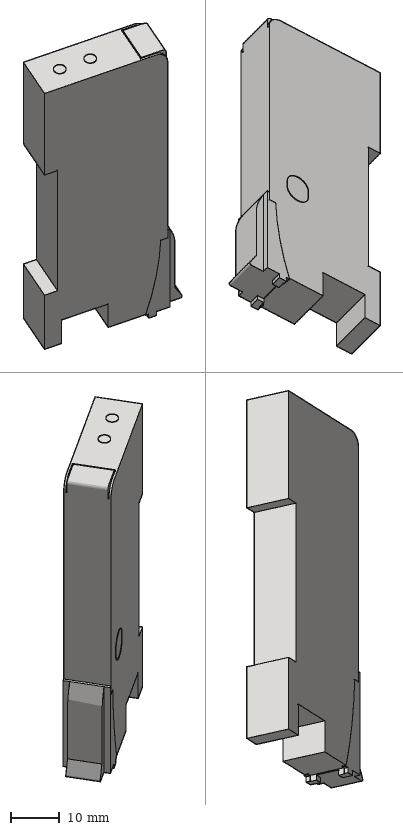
import cadquery as cq

width = 10.0
height = 76.2
housing_back = 28.05
housing_bottom = 1.4

relief_depth = 3.0
relief_bottom = 17.2
relief_top = 52.35

notch_front = 3.9
notch_back = 14.5
notch_top = 8.2

wall_radius = 3.0
window_radius = 1.0
wall_thickness = 0.45
groove_width = 0.2
window_front = 22.3

recess_depth = 0.115
indicator_diameter = 2.6
indicator_places = (5.9, 12.8)
side_slot_width = 5.3
side_slot_height = 6.9
side_slot_y = 20.8
side_slot_z = 29.2

clip_bottom = 1.15
clip_top = 23.85
clip_back = 28.6
cheek_thickness = 0.9
cheek_shoulder_y = 26.45
cheek_shoulder_z = 21.6
cheek_mid_y = 25.4
cheek_mid_z = 11.35
cheek_toe_y = 22.9
core_front = 23.9
core_width = width - 2 * cheek_thickness

foot_front = 23.7
foot_back = 25.5
foot_width = 2.4

lever_width = 7.25
lever_face = 30.3
lever_tip = 32.3
lever_bend_y = 29.6
lever_bend_z = 21.6
lever_arc_end_z = 18.3
lever_ramp_top = 4.8
lever_tip_radius = 0.495


def box(x_range, y_range, z_range):
    """Axis-aligned block given by its limits along X, Y and Z."""
    sizes = [high - low for low, high in (x_range, y_range, z_range)]
    corner = (x_range[0], y_range[0], z_range[0])
    return cq.Workplane("XY").box(*sizes, centered=False).translate(corner)


def extrude_centred(profile, thickness):
    """Extrude a closed YZ profile equally to both sides of the middle plane."""
    return profile.extrude(thickness / 2, both=True)


def make_clip():
    cheeks = extrude_centred(
        cq.Workplane("YZ")
        .moveTo(clip_back, clip_bottom)
        .lineTo(clip_back, clip_top)
        .lineTo(housing_back, clip_top)
        .lineTo(housing_back, cheek_shoulder_z)
        .lineTo(cheek_shoulder_y, cheek_shoulder_z)
        .threePointArc((cheek_mid_y, cheek_mid_z), (cheek_toe_y, clip_bottom))
        .close(),
        width,
    )
    core_relief = box(
        (-core_width / 2, core_width / 2),
        (cheek_toe_y, core_front),
        (clip_bottom, cheek_shoulder_z),
    )
    clip = cheeks.cut(core_relief)

    for side in (-1, 1):
        outer_x = side * width / 2
        step_x = side * core_width / 2
        inner_x = outer_x - side * foot_width
        cheek_foot = box(sorted((outer_x, step_x)), (foot_front, foot_back), (0, clip_bottom))
        core_foot = box(sorted((step_x, inner_x)), (core_front, foot_back), (0, clip_bottom))
        clip = clip.union(cheek_foot).union(core_foot)

    lever = extrude_centred(
        cq.Workplane("YZ")
        .moveTo(clip_back, clip_bottom)
        .lineTo(clip_back, clip_top)
        .lineTo(lever_bend_y, lever_bend_z)
        .tangentArcPoint((lever_face, lever_arc_end_z), relative=False)
        .lineTo(lever_face, lever_ramp_top)
        .lineTo(lever_tip, clip_bottom)
        .close(),
        lever_width,
    )
    lever = lever.edges("|X and >Y").fillet(lever_tip_radius)
    return clip.union(lever)


def make_housing(clip):
    housing = extrude_centred(
        cq.Workplane("YZ")
        .moveTo(0, housing_bottom)
        .lineTo(0, relief_bottom)
        .lineTo(relief_depth, relief_bottom)
        .lineTo(relief_depth, relief_top)
        .lineTo(0, relief_top)
        .lineTo(0, height)
        .lineTo(housing_back, height)
        .lineTo(housing_back, housing_bottom)
        .lineTo(notch_back, housing_bottom)
        .lineTo(notch_back, notch_top)
        .lineTo(notch_front, notch_top)
        .lineTo(notch_front, housing_bottom)
        .close(),
        width,
    )
    housing = housing.edges("|X and >Y and >Z").fillet(wall_radius)

    pocket_half = width / 2 - wall_thickness
    pocket_floor = height - wall_radius
    pocket = box(
        (-pocket_half, pocket_half), (window_front - groove_width, housing_back), (pocket_floor, height)
    )
    window_half = pocket_half - groove_width
    window = box((-window_half, window_half), (window_front, housing_back), (pocket_floor, height))
    window = window.edges("|X and >Y and >Z").fillet(window_radius)
    housing = housing.cut(pocket).union(window)

    indicators = (
        cq.Workplane("XY", origin=(0, 0, height))
        .pushPoints([(0, y) for y in indicator_places])
        .circle(indicator_diameter / 2)
        .extrude(-recess_depth)
    )
    side_slot = (
        cq.Workplane("YZ", origin=(-width / 2, side_slot_y, side_slot_z))
        .slot2D(side_slot_height, side_slot_width, 90)
        .extrude(recess_depth)
    )
    housing = housing.cut(indicators).cut(side_slot)

    return housing.cut(clip)


clip = make_clip()
housing = make_housing(clip)

result = cq.Compound.makeCompound([housing.solids().val(), clip.solids().val()])